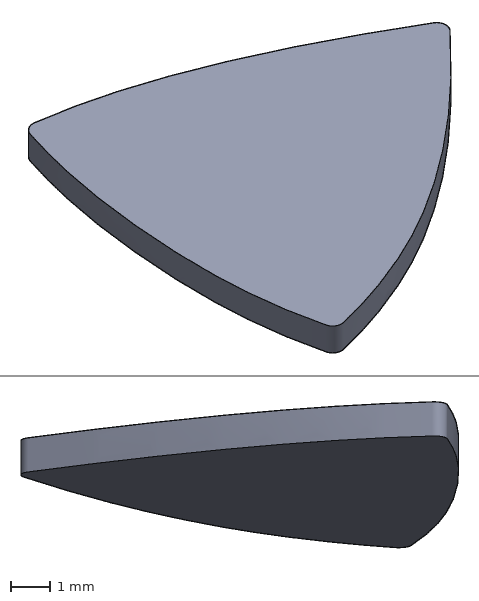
import cadquery as cq

length_x = 10.78
length_y = 11.36
thickness = 0.9
corner_radius = 0.34

upper_corner = (0.09, 11.44)
right_corner = (10.88, 5.38)
lower_corner = (1.15, -0.07)

upper_side = [(2.96, 10.63), (5.44, 9.65), (7.92, 8.21), (9.16, 7.22)]
lower_side = [(8.2, 3.1), (6.01, 1.8), (3.82, 0.77)]
left_side = [(0.6, 1.84), (0.18, 4.45), (0.0, 7.61), (0.0, 8.97)]


def bowed_side(outline, inner_points, end_corner):
    """Continue the outline along a smooth curve to the next corner."""
    return outline.spline(inner_points + [end_corner], includeCurrent=True)


outline = cq.Workplane("XY").moveTo(*upper_corner)
outline = bowed_side(outline, upper_side, right_corner)
outline = bowed_side(outline, lower_side, lower_corner)
outline = bowed_side(outline, left_side, upper_corner)

plate = outline.close().extrude(thickness)
plate = plate.edges("|Z").fillet(corner_radius)

result = plate.translate((-length_x / 2, -length_y / 2, 0))